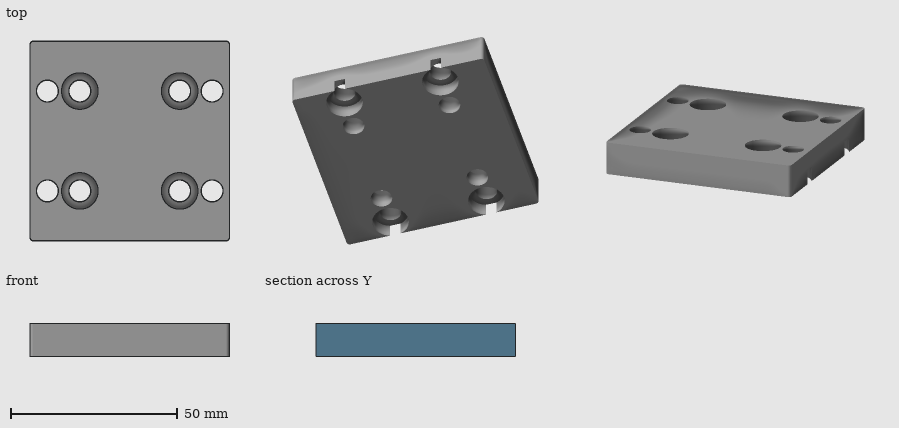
import cadquery as cq

plate_side = 60.0
plate_thickness = 10.0
corner_radius = 1.0

hole_diameter = 6.5
counterbore_diameter = 11.0
counterbore_depth = 4.5

row_spacing = 30.0
inner_column_spacing = 30.0
outer_column_spacing = 49.5


def make_plate():
    """Plain plate with rounded vertical corners."""
    plate = cq.Workplane("XY").box(
        plate_side, plate_side, plate_thickness, centered=(True, True, False)
    )
    return plate.edges("|Z").fillet(corner_radius)


def cut_counterbored_holes(body, face, column_spacing):
    """Four through holes, counterbored from the selected face."""
    return (
        body.faces(face)
        .workplane(origin=(0, 0, 0))
        .rarray(column_spacing, row_spacing, 2, 2)
        .cboreHole(hole_diameter, counterbore_diameter, counterbore_depth)
    )


result = make_plate()

result = cut_counterbored_holes(result, ">Z", inner_column_spacing)

result = cut_counterbored_holes(result, "<Z", outer_column_spacing)